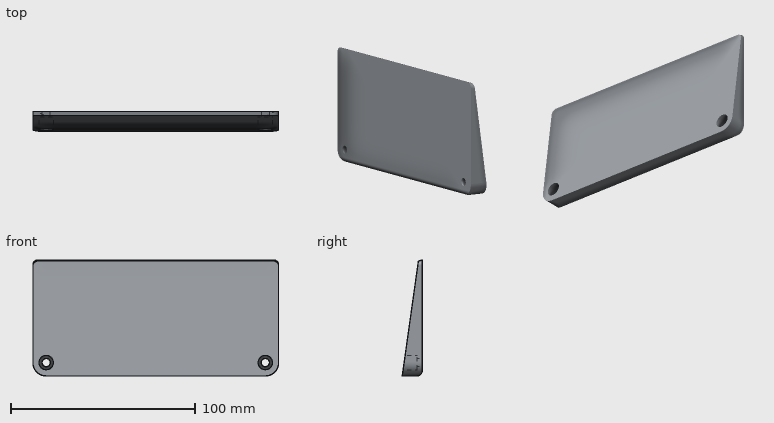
import cadquery as cq
import math

width = 133.6
base_depth = 11.01
height = 63.09

front_slope = 8.0
top_edge_depth = 2.23
back_bottom_radius = 3.0

upper_corner_radius = 2.8
lower_corner_radius = 7.3

screw_diameter = 4.4
head_diameter = 7.8
head_seat_thickness = 3.0
hole_inset = lower_corner_radius

top_edge_height = (base_depth - top_edge_depth) / math.tan(math.radians(front_slope))


def make_wedge():
    """Side profile extruded across the width, rounded along the back bottom edge."""
    wedge = (
        cq.Workplane("YZ")
        .moveTo(-base_depth, 0)
        .lineTo(-back_bottom_radius, 0)
        .radiusArc((0, back_bottom_radius), -back_bottom_radius)
        .lineTo(0, height)
        .lineTo(-top_edge_depth, top_edge_height)
        .close()
        .extrude(width / 2, both=True)
    )
    return wedge


def make_outline_block():
    """Block running front to back whose lower corners are rounded."""
    return (
        cq.Workplane("XY")
        .box(width, base_depth, height, centered=(True, False, False))
        .translate((0, -base_depth, 0))
        .edges("|Y and <Z")
        .fillet(lower_corner_radius)
    )


def round_upper_corners(body):
    """Round the two short edges where the sloped top face meets the sides."""
    top_ends = cq.selectors.BoxSelector(
        (-width, -base_depth, top_edge_height),
        (width, base_depth, height),
    )
    return body.edges(top_ends).edges("not |X").fillet(upper_corner_radius)


def cut_screw_hole(body, x):
    """Through hole along Y with a deep counterbore opening on the front face."""
    axis_plane = cq.Workplane("XZ").center(x, hole_inset)
    screw = axis_plane.circle(screw_diameter / 2).extrude(base_depth)
    head = (
        axis_plane.workplane(offset=head_seat_thickness)
        .circle(head_diameter / 2)
        .extrude(base_depth - head_seat_thickness)
    )
    return body.cut(screw).cut(head)


plate = make_wedge().intersect(make_outline_block())
plate = round_upper_corners(plate)
for side in (-1, 1):
    plate = cut_screw_hole(plate, side * (width / 2 - hole_inset))

result = plate